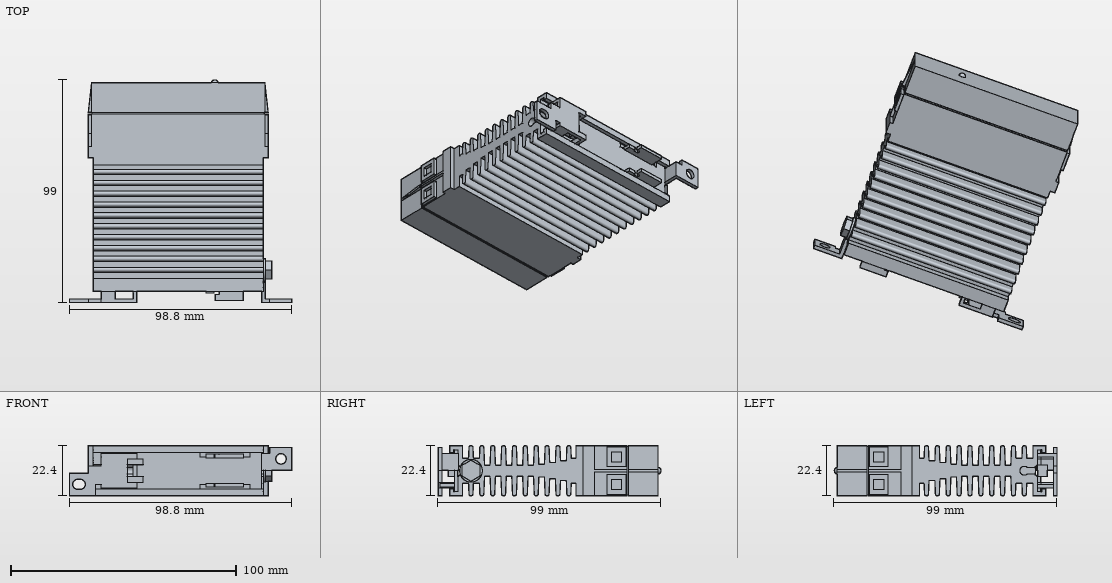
import cadquery as cq
import math


half_height = 11.2
full_length = 99.0
housing_half_width = 40.0
sink_half_width = 37.8

housing_start = 64.4
panel_start = 69.4
housing_end = 83.9
cover_start = 84.6
cover_end = 97.8
panel_half_width = 38.6
seam_half_width = 38.3
seam_depth = 0.4
cover_top_half_width = 38.5
rib_half_height = 0.6
terminal_start = 75.1
terminal_end = 83.4
terminal_half_height = 4.4
terminal_z = 6.1
socket_size = 4.6
socket_depth = 1.4
socket_y = 79.2
lamp_x = 16.2
lamp_radius = 1.6

sink_end = 61.1
fin_first_y = 14.6
fin_last_y = 58.0
fin_count = 10
fin_pitch = (fin_last_y - fin_first_y) / (fin_count - 1)
fin_tip_half = 0.94
fin_draft = 0.04
gap_floors = [5.6, 5.6, 2.5, 2.5, 2.5, 2.5, 2.5, 2.9, 3.7, 4.5, 5.6]
foot_block_end = 10.8
foot_block_start = 5.1
channel_floor = 8.7
channel_half_height = 9.3
lip_top = 6.8
lip_half_opening = 8.0

groove_y = fin_first_y
groove_radius = 2.0
groove_half_slot = 1.44
groove_flare_y = 10.0
groove_mouth_half = 2.7

washer_radius = 5.1
washer_thickness = 1.0
bolt_flats = 8.1
bolt_head_height = 2.8

sheet = 1.7
plate_bottom = 7.2
plate_left = -20.1
plate_right = 37.0
tongue_half_height = 2.6
tongue_bottom = 4.4
relief_half_height = 5.15
relief_right = -15.5
clip_half_height = 7.7

hook_window_left = 9.6
hook_window_right = 32.0
hook_window_inner = 6.0
hook_inner = 5.6
hook_left = 12.3
hook_right = 28.9
hook_bottom = 0.9
hook_step_x = 15.9
hook_step_y = 4.3
hook_slot_x = 18.1
hook_slot_top = 5.0
hook_slot_bottom = 3.7
hook_nose_x = 16.4

right_foot_end = 50.5
right_foot_shoulder = 40.6
right_foot_low = 0.2
right_foot_high = 10.4
right_hole_x = 45.7
right_hole_z = 5.2
right_hole_diameter = 4.6
right_wall_top = 9.1

left_foot_end = -48.3
left_foot_high = -1.1
left_step_x = -39.9
left_step_high = 2.2
clip_left = -34.3
clip_right = -18.4
clip_slot_left = -22.6
clip_end_wall = 1.6
leg_right = -27.9
leg_inner = 6.0
left_foot_right = -36.7
left_notch_top = -6.1
left_hole_x = -44.1
left_hole_z = -6.0
left_hole_length = 5.5
left_hole_height = 4.4


def box(x0, x1, y0, y1, z0, z1):
    """Axis-aligned block between the given limits."""
    return cq.Workplane("XY").box(x1 - x0, y1 - y0, z1 - z0, centered=False).translate((x0, y0, z0))


def centred_box(half_x, y0, y1, half_z):
    """Block symmetric in X and Z."""
    return box(-half_x, half_x, y0, y1, -half_z, half_z)


def along_x(x):
    """Workplane with local axes (Y, Z) whose normal is +X."""
    return cq.Workplane("YZ", origin=(x, 0, 0))


def along_y(y):
    """Workplane with local axes (X, Z) whose normal is -Y."""
    return cq.Workplane("XZ", origin=(0, y, 0))


def both_z(shape):
    """The shape joined with its mirror image below Z = 0."""
    return shape.union(shape.mirror("XY"))


def fin_half(z):
    """Half thickness of a fin at height z; fins thicken slightly towards the core."""
    return fin_tip_half + fin_draft * (half_height - fin_tip_half - z)


def heat_sink():
    """Extruded core with fins on both sides, rail channel and screw groove."""
    outline = along_x(-sink_half_width).moveTo(foot_block_start, 0)
    outline = outline.lineTo(foot_block_start, half_height).lineTo(foot_block_end, half_height)
    outline = outline.lineTo(foot_block_end, gap_floors[0])
    shoulder = half_height - fin_tip_half
    for i in range(fin_count):
        y = fin_first_y + i * fin_pitch
        near_floor = gap_floors[i]
        far_floor = gap_floors[i + 1]
        outline = outline.lineTo(y - fin_half(near_floor), near_floor)
        outline = outline.lineTo(y - fin_tip_half, shoulder)
        outline = outline.threePointArc((y, half_height), (y + fin_tip_half, shoulder))
        outline = outline.lineTo(y + fin_half(far_floor), far_floor)
    outline = outline.lineTo(sink_end, gap_floors[-1]).lineTo(sink_end, half_height)
    outline = outline.lineTo(housing_start, half_height).lineTo(housing_start, 0).close()
    body = both_z(outline.extrude(2 * sink_half_width))

    channel = centred_box(sink_half_width, lip_top, channel_floor, channel_half_height)
    opening = centred_box(sink_half_width, foot_block_start, lip_top, lip_half_opening)
    bore = along_x(-sink_half_width).center(groove_y, 0).circle(groove_radius)
    slot = (
        along_x(-sink_half_width)
        .moveTo(groove_y, groove_half_slot)
        .lineTo(groove_flare_y, groove_half_slot)
        .lineTo(channel_floor, groove_mouth_half)
        .lineTo(channel_floor, -groove_mouth_half)
        .lineTo(groove_flare_y, -groove_half_slot)
        .lineTo(groove_y, -groove_half_slot)
        .close()
    )
    body = body.cut(channel).cut(opening)
    return body.cut(bore.extrude(2 * sink_half_width)).cut(slot.extrude(2 * sink_half_width))


def housing():
    """Relay housing with recessed side panels, centre rib, terminals and tapered cover."""
    body = centred_box(housing_half_width, housing_start, panel_start, half_height)
    body = body.union(centred_box(panel_half_width, panel_start, housing_end, half_height))
    body = body.union(centred_box(housing_half_width, panel_start, housing_end, rib_half_height))
    terminal = centred_box(housing_half_width, terminal_start, terminal_end, terminal_half_height)
    for side in (-1, 1):
        body = body.union(terminal.translate((0, 0, side * terminal_z)))
    for x in (-housing_half_width, housing_half_width):
        for z in (-terminal_z, terminal_z):
            socket = cq.Workplane("XY").box(2 * socket_depth, socket_size, socket_size)
            body = body.cut(socket.translate((x, socket_y, z)))

    body = body.union(centred_box(seam_half_width, housing_end, cover_start, half_height - seam_depth))
    body = body.union(centred_box(cover_top_half_width, cover_start, cover_end, half_height))
    rib = (
        cq.Workplane("XY", origin=(0, 0, -rib_half_height))
        .moveTo(-housing_half_width, cover_start)
        .lineTo(housing_half_width, cover_start)
        .lineTo(cover_top_half_width, cover_end)
        .lineTo(-cover_top_half_width, cover_end)
        .close()
        .extrude(2 * rib_half_height)
    )
    lamp = cq.Workplane("XY").sphere(lamp_radius).translate((lamp_x, full_length - lamp_radius, 0))
    return body.union(rib).union(lamp)


def bolt():
    """Washer and hexagon head at the +X end of the screw groove."""
    washer = along_x(sink_half_width).center(groove_y, 0).circle(washer_radius).extrude(washer_thickness)
    corner_diameter = bolt_flats / math.cos(math.pi / 6)
    head = (
        along_x(sink_half_width + washer_thickness)
        .center(groove_y, 0)
        .transformed(rotate=(0, 0, 90))
        .polygon(6, corner_diameter)
        .extrude(bolt_head_height)
    )
    return washer.union(head)


def mounting_plate():
    """Plate lying in the channel, with a bent tongue, two rail hooks and the right foot."""
    plate = box(
        plate_left, plate_right, plate_bottom, channel_floor, -channel_half_height, channel_half_height
    )
    relief = box(
        plate_left, relief_right, plate_bottom, channel_floor, tongue_half_height, relief_half_height
    )
    window = box(
        hook_window_left, hook_window_right, plate_bottom, channel_floor, hook_window_inner, channel_half_height
    )
    hook = (
        cq.Workplane("XY", origin=(0, 0, hook_inner))
        .moveTo(hook_left, channel_floor)
        .lineTo(hook_left, hook_step_y)
        .lineTo(hook_step_x, hook_step_y)
        .lineTo(hook_step_x, hook_slot_top)
        .lineTo(hook_slot_x, hook_slot_top)
        .lineTo(hook_slot_x, hook_slot_bottom)
        .lineTo(hook_nose_x, hook_slot_bottom)
        .lineTo(hook_nose_x, hook_bottom)
        .lineTo(hook_right, hook_bottom)
        .lineTo(hook_right, channel_floor)
        .close()
        .extrude(sheet)
    )
    plate = plate.cut(both_z(relief)).cut(both_z(window)).union(both_z(hook))
    tongue = box(
        plate_left, plate_left + sheet, tongue_bottom, channel_floor, -tongue_half_height, tongue_half_height
    )
    wall_outer = plate_right + sheet
    wall = box(plate_right, wall_outer, 0, right_wall_top, right_foot_low, clip_half_height)
    foot = box(plate_right, right_foot_end, 0, sheet, right_foot_low, clip_half_height)
    ear = box(right_foot_shoulder, right_foot_end, 0, sheet, right_foot_low, right_foot_high)
    hole = along_y(sheet).center(right_hole_x, right_hole_z).circle(right_hole_diameter / 2).extrude(sheet)
    return plate.union(tongue).union(wall).union(foot.union(ear).cut(hole))


def left_clip():
    """Clip at the -X end: stepped front sheet with a foot, carried by legs and end walls."""
    front = (
        along_y(sheet)
        .moveTo(left_foot_end, -half_height)
        .lineTo(left_foot_end, left_foot_high)
        .lineTo(left_step_x, left_foot_high)
        .lineTo(left_step_x, left_step_high)
        .lineTo(clip_left, left_step_high)
        .lineTo(clip_left, clip_half_height)
        .lineTo(clip_right, clip_half_height)
        .lineTo(clip_right, relief_half_height)
        .lineTo(clip_slot_left, relief_half_height)
        .lineTo(clip_slot_left, -relief_half_height)
        .lineTo(clip_right, -relief_half_height)
        .lineTo(clip_right, -clip_half_height)
        .lineTo(clip_left, -clip_half_height)
        .lineTo(clip_left, left_notch_top)
        .lineTo(left_foot_right, left_notch_top)
        .lineTo(left_foot_right, -half_height)
        .close()
        .extrude(sheet)
    )
    hole = (
        along_y(sheet)
        .center(left_hole_x, left_hole_z)
        .slot2D(left_hole_length, left_hole_height)
        .extrude(sheet)
    )
    leg = box(clip_left, leg_right, 0, channel_floor, leg_inner, clip_half_height)
    end_wall = box(
        clip_right - clip_end_wall, clip_right, 0, channel_floor, relief_half_height, clip_half_height
    )
    return front.cut(hole).union(both_z(leg)).union(both_z(end_wall))


result = heat_sink().union(housing()).union(bolt()).union(mounting_plate()).union(left_clip())